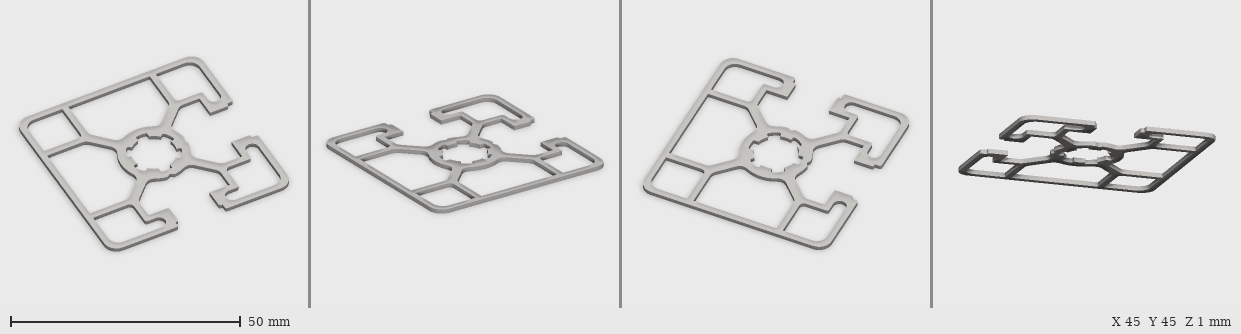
import cadquery as cq
import math

side = 45.0
half = side / 2
thickness = 1.0
outer_corner_radius = 3.0
wall = 1.5
wall_inside = half - wall

chamber_half_width = 10.0
throat_half_width = 5.0
mouth_half_width = 5.8
mouth_depth = 1.5
lip_depth = 6.08
lip_edge_radius = 0.45

cell_inside = chamber_half_width + wall
cell_outer_radius = 2.5
cell_inner_radius = 1.0
arm_end = 7.42
arm_inside = half - lip_depth + wall
arm_width = wall_inside - arm_inside
arm_corner_radius = 0.5

core_radius = 8.0
web_thickness = 2.2
web_fillet_radius = 2.0
web_offset = web_thickness / math.sqrt(2)
web_end = chamber_half_width + web_offset
notch_half_width = 0.9
notch_root = 7.42

bore_radius = 5.0
pocket_radius = 6.1
key_half_width = 1.35
tooth_half_width = key_half_width
pocket_fillet_radius = 0.5

TOP, LEFT, BOTTOM, RIGHT = 0, 90, 180, 270
OPEN_FACES = (TOP, RIGHT)
CLOSED_FACES = (LEFT, BOTTOM)


def block(x_min, x_max, y_min, y_max):
    """Full-thickness block between the given X and Y limits."""
    return (
        cq.Workplane("XY")
        .box(x_max - x_min, y_max - y_min, thickness, centered=False)
        .translate((x_min, y_min, 0))
    )


def prism(points):
    return cq.Workplane("XY").polyline(points).close().extrude(thickness)


def disk(radius):
    return cq.Workplane("XY").circle(radius).extrude(thickness)


def turned(body, angle):
    return body.rotate((0, 0, 0), (0, 0, 1), angle)


def round_edge(body, x, y, radius):
    """Fillet the upright edge that passes closest to (x, y)."""
    nearest = cq.selectors.NearestToPointSelector((x, y, thickness / 2))
    return body.edges("|Z").edges(nearest).fillet(radius)


def chamber(depth_limit):
    """Space between two webs, from the core ring out to depth_limit on the +Y side."""
    body = prism(
        [
            (0, web_offset),
            (chamber_half_width, web_end),
            (chamber_half_width, depth_limit),
            (-chamber_half_width, depth_limit),
            (-chamber_half_width, web_end),
        ]
    ).cut(disk(core_radius))
    meet_x = (math.sqrt(2 * core_radius**2 - web_offset**2) - web_offset) / 2
    for sign in (-1, 1):
        body = round_edge(body, sign * chamber_half_width, web_end, web_fillet_radius)
        body = round_edge(body, sign * meet_x, meet_x + web_offset, web_fillet_radius)
    return body


def throat():
    """Stepped slot opening through the +Y face."""
    lip_inside = half - lip_depth
    step = half - mouth_depth
    opening = block(-throat_half_width, throat_half_width, lip_inside, half)
    return opening.union(block(-mouth_half_width, mouth_half_width, step, half))


def notch():
    """V-groove in the core ring on the +Y side."""
    rim = math.sqrt(core_radius**2 - notch_half_width**2)
    run_on = 2
    top = notch_root + run_on * (rim - notch_root)
    top_half_width = run_on * notch_half_width
    return prism([(0, notch_root), (top_half_width, top), (-top_half_width, top)])


def arm():
    """Round-ended extension of the +X +Y cell into the lip of the +Y slot."""
    end_radius = arm_width / 2
    body = block(arm_end + end_radius, wall_inside, arm_inside, wall_inside)
    end = disk(end_radius).translate((arm_end + end_radius, arm_inside + end_radius, 0))
    return body.union(end)


def corner_cell(arm_on_y_face, arm_on_x_face):
    """Hollow cell of the +X +Y corner, with an arm towards each slotted face."""
    cell = block(cell_inside, wall_inside, cell_inside, wall_inside)
    if arm_on_y_face:
        cell = cell.union(arm())
    if arm_on_x_face:
        cell = cell.union(arm().mirror("XZ").rotate((0, 0, 0), (0, 0, 1), 90))
    cell = round_edge(cell, wall_inside, wall_inside, cell_outer_radius)
    cell = round_edge(cell, cell_inside, cell_inside, cell_inner_radius)
    if arm_on_y_face:
        cell = round_edge(cell, cell_inside, arm_inside, arm_corner_radius)
    if arm_on_x_face:
        cell = round_edge(cell, arm_inside, cell_inside, arm_corner_radius)
    return cell


def bore_pocket():
    """Bore pocket in the +X +Y quadrant, between a tooth flank and the 45 degree radius."""
    wedge = prism(
        [
            (tooth_half_width, tooth_half_width),
            (pocket_radius, pocket_radius),
            (tooth_half_width, pocket_radius),
        ]
    )
    pocket = wedge.intersect(disk(pocket_radius))
    flank_end = math.sqrt(pocket_radius**2 - tooth_half_width**2)
    diagonal_end = pocket_radius / math.sqrt(2)
    pocket = round_edge(pocket, tooth_half_width, flank_end, pocket_fillet_radius)
    return round_edge(pocket, diagonal_end, diagonal_end, pocket_fillet_radius)


def bore():
    keyway = block(-pocket_radius, pocket_radius, -key_half_width, key_half_width)
    body = disk(bore_radius).union(keyway.intersect(disk(pocket_radius)))
    right_pockets = bore_pocket().union(bore_pocket().mirror("XZ"))
    return body.union(right_pockets).union(right_pockets.mirror("YZ"))


profile = block(-half, half, -half, half).edges("|Z").fillet(outer_corner_radius)

for face in CLOSED_FACES:
    profile = profile.cut(turned(chamber(wall_inside), face))

for face in OPEN_FACES:
    profile = profile.cut(turned(chamber(half - lip_depth), face))
    profile = profile.cut(turned(throat(), face))
    profile = profile.cut(turned(notch(), face))

profile = profile.cut(corner_cell(True, True))
profile = profile.cut(turned(corner_cell(False, True), LEFT))
profile = profile.cut(turned(corner_cell(False, False), BOTTOM))
profile = profile.cut(turned(corner_cell(True, False), RIGHT))

profile = profile.cut(bore())

for sign in (-1, 1):
    for across, outward in ((mouth_half_width, half), (throat_half_width, half - mouth_depth)):
        profile = round_edge(profile, sign * across, outward, lip_edge_radius)
        profile = round_edge(profile, outward, sign * across, lip_edge_radius)

result = profile